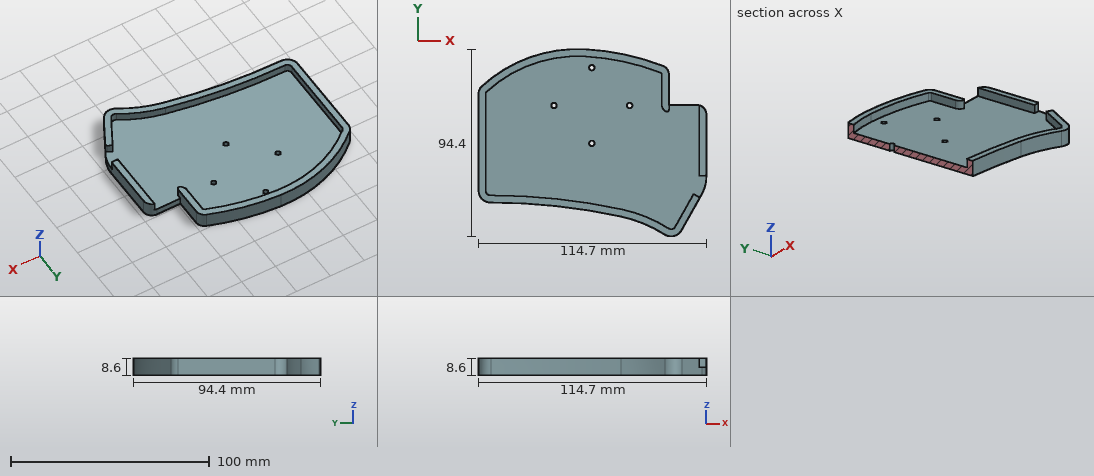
import cadquery as cq
import math

length = 114.7
height = 8.6
floor_thickness = 4.0
wall = 3.7

shoulder_x = 95.9
step_y = 66.2
slant_angle = math.radians(29.3)

top_left_radius = 71.4
top_right_radius = 128.5
top_left_center = (49.9, 23.0)
top_joint_angle = math.radians(3.2)
bottom_left_radius = 309.8
bottom_right_radius = 68.0
bottom_left_center = (6.1, -292.8)
bottom_joint_angle = math.radians(12.2)
bottom_corner_x = 98.9

upper_corner_radius = 10.0 / 2
lower_corner_radius = 6.1
slant_radius = 18.8
wall_end_radius = 0.7

shoulder_wall_end_y = 62.4
side_wall_end_y = 30.6
slant_wall_setback = 6.8
cut_margin = 5.7

hole_diameter = 2.6
hole_circle_radius = 19.0
hole_center = (57.0, 65.9)
hole_count = 4


def along(center, distance, angle):
    """Point at a distance from center, with the angle turned clockwise from +Y."""
    return (center[0] + distance * math.sin(angle), center[1] + distance * math.cos(angle))


def arc_y(center, radius, x):
    """Height of the upper half of a circle at x."""
    return center[1] + math.sqrt(radius**2 - (x - center[0]) ** 2)


def arc_point(center, radius, x):
    return (x, arc_y(center, radius, x))


def arc_to(sketch, center, radius, start_x, end):
    """Draw the arc from start_x to the end point, both on the upper half of the circle."""
    return sketch.threePointArc(arc_point(center, radius, (start_x + end[0]) / 2), end)


top_right_center = along(top_left_center, top_left_radius - top_right_radius, top_joint_angle)
top_joint = along(top_left_center, top_left_radius, top_joint_angle)
bottom_right_center = along(
    bottom_left_center, bottom_left_radius - bottom_right_radius, bottom_joint_angle
)
bottom_joint = along(bottom_left_center, bottom_left_radius, bottom_joint_angle)

top_left = arc_point(top_left_center, top_left_radius, 0)
top_right = arc_point(top_right_center, top_right_radius, shoulder_x)
bottom_left = arc_point(bottom_left_center, bottom_left_radius, 0)
bottom_corner = arc_point(bottom_right_center, bottom_right_radius, bottom_corner_x)
slant_top = (length, bottom_corner[1] + (length - bottom_corner_x) / math.tan(slant_angle))
step_corner = (length, step_y)

slant_wall_end = along(slant_top, -slant_wall_setback, slant_angle)


def round_upright(body, point, z, radius):
    """Round the vertical edge nearest to a point of the outline at height z."""
    edge = cq.selectors.NearestToPointSelector((point[0], point[1], z))
    return body.edges("|Z").edges(edge).fillet(radius)


def make_blank():
    """Solid plate with the full outline and rounded corners."""
    sketch = cq.Workplane("XY").moveTo(*top_left)
    sketch = arc_to(sketch, top_left_center, top_left_radius, 0, top_joint)
    sketch = arc_to(sketch, top_right_center, top_right_radius, top_joint[0], top_right)
    sketch = sketch.lineTo(shoulder_x, step_y).lineTo(*step_corner)
    sketch = sketch.lineTo(*slant_top).lineTo(*bottom_corner)
    sketch = arc_to(sketch, bottom_right_center, bottom_right_radius, bottom_corner_x, bottom_joint)
    sketch = arc_to(sketch, bottom_left_center, bottom_left_radius, bottom_joint[0], bottom_left)
    body = sketch.close().extrude(height)
    middle_z = height / 2
    for point in (top_left, top_right, step_corner):
        body = round_upright(body, point, middle_z, upper_corner_radius)
    for point in (bottom_left, bottom_corner):
        body = round_upright(body, point, middle_z, lower_corner_radius)
    return round_upright(body, slant_top, middle_z, slant_radius)


def above_floor(sketch):
    """Extrude from the floor to the top of the wall."""
    return sketch.extrude(height - floor_thickness)


def floor_plane():
    return cq.Workplane("XY").workplane(offset=floor_thickness)


def make_pocket(blank):
    """Inside of the wall: the outline moved inwards by the wall thickness."""
    inner_outline = blank.faces("<Z").wires().val().offset2D(-wall)
    pocket = above_floor(cq.Workplane("XY").newObject(inner_outline).toPending())
    return pocket.translate((0, 0, floor_thickness))


def make_step_opening():
    """Gap along the step, leaving a round end on the shoulder wall."""
    left = shoulder_x - wall
    right = length - wall
    end_center_y = shoulder_wall_end_y + wall / 2
    sketch = (
        floor_plane()
        .moveTo(left, end_center_y)
        .threePointArc((left + wall / 2, shoulder_wall_end_y), (shoulder_x, end_center_y))
        .lineTo(shoulder_x, step_y + cut_margin)
        .lineTo(right, step_y + cut_margin)
        .lineTo(right, shoulder_wall_end_y - cut_margin)
        .lineTo(left, shoulder_wall_end_y - cut_margin)
        .close()
    )
    return above_floor(sketch)


def make_corner_opening():
    """Gap between the side wall and the wall on the slanted side."""
    across_slant = slant_angle + math.pi / 2
    outer = along(slant_wall_end, cut_margin, across_slant)
    inner = along(slant_wall_end, -wall - cut_margin, across_slant)
    sketch = floor_plane().polyline(
        [inner, outer, (length + cut_margin, side_wall_end_y), (inner[0], side_wall_end_y)]
    )
    return above_floor(sketch.close())


def add_holes(body):
    holes = (
        cq.Workplane("XY")
        .center(*hole_center)
        .polarArray(hole_circle_radius, 0, 360, hole_count)
        .circle(hole_diameter / 2)
        .extrude(floor_thickness)
    )
    return body.cut(holes)


blank = make_blank()
tray = blank.cut(make_pocket(blank))
tray = tray.cut(make_step_opening())
tray = tray.cut(make_corner_opening())

wall_middle_z = (floor_thickness + height) / 2
for end in ((length, side_wall_end_y), slant_wall_end):
    tray = round_upright(tray, end, wall_middle_z, wall_end_radius)

result = add_holes(tray)